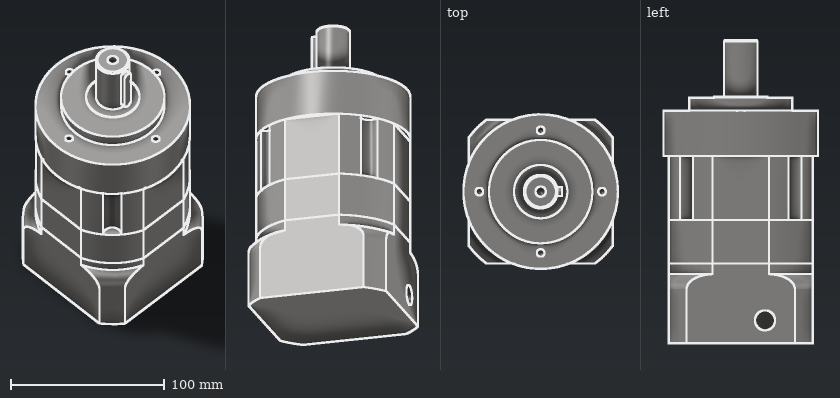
import cadquery as cq
import math

SHOULDER_TOP = 45.3
RING_BOTTOM = 52.0
BODY_BOTTOM = 80.5
FLANGE_BOTTOM = 122.2
FLANGE_TOP = 151.9
PILOT_TOP = 160.4
WASHER_TOP = 161.0
SHAFT_TOP = 198.0

HOUSING_DIAMETER = 101.0
ACROSS_FLATS = 94.0

CORNER_DIAMETER = 117.6
SHOULDER_FILLET = 10.0
ACCESS_HOLE_DIAMETER = 13.0
ACCESS_HOLE_Y = -15.8
ACCESS_HOLE_Z = 15.0
HUB_DIAMETER = 47.5

GROOVE_DIAMETER = 12.0
GROOVE_OFFSET = 35.5

PILOT_DIAMETER = 67.5
WASHER_DIAMETER = 34.8
SHAFT_DIAMETER = 22.0
SHAFT_CHAMFER = 1.0
SHAFT_HOLE_DIAMETER = 6.7
SHAFT_HOLE_DEPTH = 19.8
FLANGE_HOLE_DIAMETER = 5.0
FLANGE_HOLE_DEPTH = 13.9
FLANGE_HOLE_CIRCLE_DIAMETER = 80.0
FLANGE_HOLE_COUNT = 4
DRILL_POINT_ANGLE = 118.0

KEY_WIDTH = 6.0
KEY_BOTTOM = 163.0
KEY_TOP = 195.0
KEY_REACH = 13.9


def disc(diameter, bottom, top):
    """Solid cylinder on the gearbox axis between two levels."""
    return cq.Workplane("XY").workplane(offset=bottom).circle(diameter / 2).extrude(top - bottom)


def flats_block(bottom, top):
    """Square block whose sides are the four flats of the housing."""
    return cq.Workplane("XY").workplane(offset=bottom).rect(ACROSS_FLATS, ACROSS_FLATS).extrude(top - bottom)


def housing_section(bottom, top):
    """Length of housing with round corners and four flats."""
    return disc(HOUSING_DIAMETER, bottom, top).intersect(flats_block(bottom, top))


def drilled_hole(x, y, mouth_level, diameter, depth):
    """Cutter for a vertical blind hole with a conical drill point below its full-diameter depth."""
    radius = diameter / 2
    point_length = radius / math.tan(math.radians(DRILL_POINT_ANGLE / 2))
    profile = (
        cq.Workplane("XZ")
        .moveTo(0, 0)
        .lineTo(radius, 0)
        .lineTo(radius, -depth)
        .lineTo(0, -depth - point_length)
        .close()
    )
    return profile.revolve(360, (0, 0, 0), (0, 1, 0)).translate((x, y, mouth_level))


def access_hole():
    """Cutter for the side hole from the -X flat, which ends on a round hub around the gearbox axis."""
    drill = (
        cq.Workplane("YZ", origin=(-ACROSS_FLATS / 2, ACCESS_HOLE_Y, ACCESS_HOLE_Z))
        .circle(ACCESS_HOLE_DIAMETER / 2)
        .extrude(ACROSS_FLATS / 2)
    )
    return drill.cut(disc(HUB_DIAMETER, 0, SHOULDER_TOP))


def make_base():
    """Square input base with rounded corners and filleted shoulders."""
    shoulder = disc(CORNER_DIAMETER, 0, SHOULDER_TOP).faces(">Z").edges().fillet(SHOULDER_FILLET)
    neck = disc(HOUSING_DIAMETER, 0, RING_BOTTOM)
    base = shoulder.union(neck).intersect(flats_block(0, RING_BOTTOM))
    return base.cut(access_hole())


def make_ring():
    """Plain intermediate ring above the base."""
    return housing_section(RING_BOTTOM, BODY_BOTTOM)


def make_gear_body():
    """Gear body with one vertical half-round groove down each corner."""
    grooves = (
        cq.Workplane("XY")
        .workplane(offset=BODY_BOTTOM)
        .rect(2 * GROOVE_OFFSET, 2 * GROOVE_OFFSET, forConstruction=True)
        .vertices()
        .circle(GROOVE_DIAMETER / 2)
        .extrude(FLANGE_BOTTOM - BODY_BOTTOM)
    )
    return housing_section(BODY_BOTTOM, FLANGE_BOTTOM).cut(grooves)


def make_key():
    """Key standing out of the +X side of the shaft, rounded at both ends."""
    key_length = KEY_TOP - KEY_BOTTOM
    return (
        cq.Workplane("YZ")
        .center(0, KEY_BOTTOM + key_length / 2)
        .slot2D(key_length, KEY_WIDTH, 90)
        .extrude(KEY_REACH)
    )


def make_output():
    """Output flange in one piece with its pilot, washer face, shaft and key."""
    shaft = disc(SHAFT_DIAMETER, PILOT_TOP, SHAFT_TOP).faces(">Z").chamfer(SHAFT_CHAMFER)
    output = (
        disc(HOUSING_DIAMETER, FLANGE_BOTTOM, FLANGE_TOP)
        .union(disc(PILOT_DIAMETER, FLANGE_TOP, PILOT_TOP))
        .union(disc(WASHER_DIAMETER, PILOT_TOP, WASHER_TOP))
        .union(shaft)
        .union(make_key())
        .cut(drilled_hole(0, 0, SHAFT_TOP, SHAFT_HOLE_DIAMETER, SHAFT_HOLE_DEPTH))
    )
    for index in range(FLANGE_HOLE_COUNT):
        angle = 2 * math.pi * index / FLANGE_HOLE_COUNT
        x = FLANGE_HOLE_CIRCLE_DIAMETER / 2 * math.cos(angle)
        y = FLANGE_HOLE_CIRCLE_DIAMETER / 2 * math.sin(angle)
        output = output.cut(drilled_hole(x, y, FLANGE_TOP, FLANGE_HOLE_DIAMETER, FLANGE_HOLE_DEPTH))
    return output


base = make_base()
ring = make_ring()
gear_body = make_gear_body()
output = make_output()

result = cq.Compound.makeCompound([base.val(), ring.val(), gear_body.val(), output.val()])